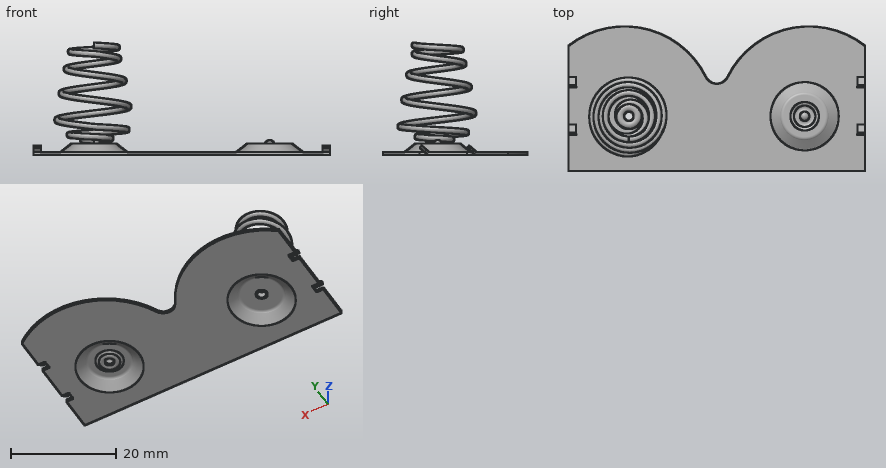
import cadquery as cq
import math

plate_length = 56.5
side_height = 23.85
sheet = 0.55
lobe_radius = 17.25
lobe_offset = 17.5
lobe_top = 27.6
valley_bottom = 16.65

boss_offset = 16.7
boss_y = 10.45
boss_top = 2.25
boss_foot_radius = 6.5
slope_foot_radius = 6.25
slope_foot_z = 0.7
slope_head_radius = 4.6
slope_head_z = 2.0
crown_radius = 4.0
bowl_rim_radius = 2.7
bowl_radius = 2.05
bowl_edge_z = 2.0
bowl_floor_radius = 1.45
bowl_floor_z = 1.7
nipple_radius = 0.9
nipple_foot_z = 1.9
nipple_top = 2.9

tab_width = 1.45
tab_hinges = (8.85, 17.9)
tab_top = 1.8
tab_angle = math.radians(40)
notch_length = 1.9

eyelet_bore = 1.75
eyelet_diameter = 2.25
lip_diameter = 4.9
lip_bottom = 3.0

wire_diameter = 1.15
seat_radius = 1.75
wide_radius = 7.1
top_radius = 4.4
seat_z = boss_top + wire_diameter / 2
wide_z = 5.4
closed_z = 19.25
end_z = 20.9
spiral_turns = 2
cone_turns = 3
closed_turns = 1
cone_start_pitch = 5.1
cone_end_pitch = 3.4
spiral_growth = 1.35
spiral_rise = 2.0
cone_taper = 1.2
points_per_turn = 16
tangent_step = 0.01


def plate_blank():
    """Flat sheet with two round lobes and a blended valley between them."""
    half = plate_length / 2
    lobe_y = lobe_top - lobe_radius
    drop = valley_bottom - lobe_y
    valley_radius = (lobe_offset**2 + drop**2 - lobe_radius**2) / (2 * (lobe_radius - drop))
    share = lobe_radius / (lobe_radius + valley_radius)
    tangent_x = lobe_offset * (1 - share)
    tangent_y = lobe_y + share * (drop + valley_radius)
    return (
        cq.Workplane("XY")
        .moveTo(-half, 0)
        .lineTo(half, 0)
        .lineTo(half, side_height)
        .threePointArc((lobe_offset, lobe_top), (tangent_x, tangent_y))
        .threePointArc((0, valley_bottom), (-tangent_x, tangent_y))
        .threePointArc((-lobe_offset, lobe_top), (-half, side_height))
        .close()
        .extrude(sheet)
    )


def revolve_boss(profile, x):
    """Turn an XZ half-profile about a vertical axis at the boss centre."""
    return profile.close().revolve(360, (0, 0, 0), (0, 1, 0)).translate((x, boss_y, 0))


def cap_middle(apex_x, apex_z, reach, fall):
    """Middle of an arc that is level at its apex and falls away over its reach."""
    radius = (reach**2 + fall**2) / (2 * fall)
    angle = math.atan2(fall, reach)
    return apex_x + radius * math.sin(angle), apex_z - radius * (1 - math.cos(angle))


def boss_flank(drop):
    """Outer boss surface from the foot to the crown, lowered by drop; left open at the crown."""
    return (
        cq.Workplane("XZ")
        .moveTo(0, -drop)
        .lineTo(boss_foot_radius, -drop)
        .lineTo(boss_foot_radius, sheet - drop)
        .lineTo(slope_foot_radius, slope_foot_z - drop)
        .lineTo(slope_head_radius, slope_head_z - drop)
        .threePointArc(
            cap_middle(
                crown_radius, boss_top - drop, slope_head_radius - crown_radius, boss_top - slope_head_z
            ),
            (crown_radius, boss_top - drop),
        )
    )


def plain_boss(drop):
    """Boss with a flat crown."""
    return revolve_boss(boss_flank(drop).lineTo(0, boss_top - drop), -boss_offset)


def nipple_boss(drop):
    """Boss with a shallow bowl and a rounded nipple in its middle."""
    profile = (
        boss_flank(drop)
        .lineTo(bowl_rim_radius, boss_top - drop)
        .lineTo(bowl_radius, bowl_edge_z - drop)
        .threePointArc((bowl_floor_radius, bowl_floor_z - drop), (nipple_radius, nipple_foot_z - drop))
        .threePointArc(
            cap_middle(0, nipple_top - drop, nipple_radius, nipple_top - nipple_foot_z),
            (0, nipple_top - drop),
        )
    )
    return revolve_boss(profile, boss_offset)


def tab(x, hinge):
    """Tongue bent up from its hinge, leaning toward -Y."""
    rise = tab_top - sheet
    tip = hinge - rise / math.tan(tab_angle)
    end_y = tip - sheet * math.sin(tab_angle)
    end_z = tab_top - sheet * math.cos(tab_angle)
    foot = end_y + end_z / math.tan(tab_angle)
    return (
        cq.Workplane("YZ")
        .polyline([
            (hinge, 0),
            (hinge, sheet),
            (tip, tab_top),
            (end_y, end_z),
            (foot, 0),
        ])
        .close()
        .extrude(tab_width)
        .translate((x, 0, 0))
    )


def make_plate():
    """Pressed sheet with hollow bosses, lanced tabs and the eyelet hole."""
    plate = plate_blank().union(plain_boss(0)).union(nipple_boss(0))
    plate = plate.cut(plain_boss(sheet)).cut(nipple_boss(sheet))
    for x in (-plate_length / 2, plate_length / 2 - tab_width):
        for hinge in tab_hinges:
            notch = cq.Workplane("XY").box(tab_width, notch_length, sheet, centered=False)
            plate = plate.cut(notch.translate((x, hinge - notch_length, 0)))
            plate = plate.union(tab(x, hinge))
    hole = cq.Workplane("XY").circle(eyelet_diameter / 2).extrude(boss_top)
    return plate.cut(hole.translate((-boss_offset, boss_y, 0)))


def cone_height(t):
    """Cubic rise of the cone between its two pitches, for t from 0 to 1."""
    start = cone_start_pitch * cone_turns
    end = cone_end_pitch * cone_turns
    rise = closed_z - wide_z
    return wide_z + start * t + (3 * rise - 2 * start - end) * t**2 + (start + end - 2 * rise) * t**3


def coil(turn):
    """Radius and height of the wire centre after a number of turns."""
    if turn <= spiral_turns:
        t = turn / spiral_turns
        radius = seat_radius + (wide_radius - seat_radius) * t**spiral_growth
        return radius, seat_z + (wide_z - seat_z) * t**spiral_rise
    if turn <= spiral_turns + cone_turns:
        t = (turn - spiral_turns) / cone_turns
        return wide_radius + (top_radius - wide_radius) * t**cone_taper, cone_height(t)
    t = (turn - spiral_turns - cone_turns) / closed_turns
    return top_radius, closed_z + (end_z - closed_z) * t


def wire_point(turn):
    """Point on the wire centre; coils start at -Y and climb clockwise seen from above."""
    radius, height = coil(turn)
    angle = -math.pi / 2 - 2 * math.pi * turn
    return cq.Vector(radius * math.cos(angle), radius * math.sin(angle), height)


def wire_direction(turn):
    """Unit tangent of the wire centre line, from two points close to each other."""
    last = spiral_turns + cone_turns + closed_turns
    before = wire_point(max(turn - tangent_step, 0))
    after = wire_point(min(turn + tangent_step, last))
    return (after - before).normalized()


def single_turn(first):
    """Smooth edge along one turn of the wire centre line."""
    points = [wire_point(first + i / points_per_turn) for i in range(points_per_turn + 1)]
    tangents = [wire_direction(first + i / points_per_turn) for i in range(points_per_turn + 1)]
    return cq.Edge.makeSpline(points, tangents=tangents)


def wire_body(turns):
    """The first turns of the left-hand spring wire, in place over the plain boss."""
    path = cq.Wire.assembleEdges([single_turn(first) for first in range(turns)])
    start = cq.Plane(origin=wire_point(0), xDir=(0, 0, 1), normal=wire_direction(0))
    wire = cq.Workplane(start).circle(wire_diameter / 2).sweep(cq.Workplane(path), isFrenet=True)
    return wire.translate((-boss_offset, boss_y, 0))


def make_spring():
    """Spiral seat, tapering cone and closed end coil in one wire."""
    return wire_body(spiral_turns + cone_turns + closed_turns)


def make_eyelet():
    """Tube through the plain boss with a half-round lip, grooved where the first coil sits."""
    bore = eyelet_bore / 2
    barrel = eyelet_diameter / 2
    lip = lip_diameter / 2
    lip_height = (lip - bore) / 2
    profile = (
        cq.Workplane("XZ")
        .moveTo(bore, boss_top - sheet)
        .lineTo(barrel, boss_top - sheet)
        .lineTo(barrel, lip_bottom)
        .lineTo(lip, lip_bottom)
        .threePointArc(((bore + lip) / 2, lip_bottom + lip_height), (bore, lip_bottom))
    )
    return revolve_boss(profile, -boss_offset).cut(wire_body(1))


plate = make_plate()
eyelet = make_eyelet()
spring = make_spring()
result = cq.Compound.makeCompound([plate.solids().val(), eyelet.solids().val(), spring.val()])